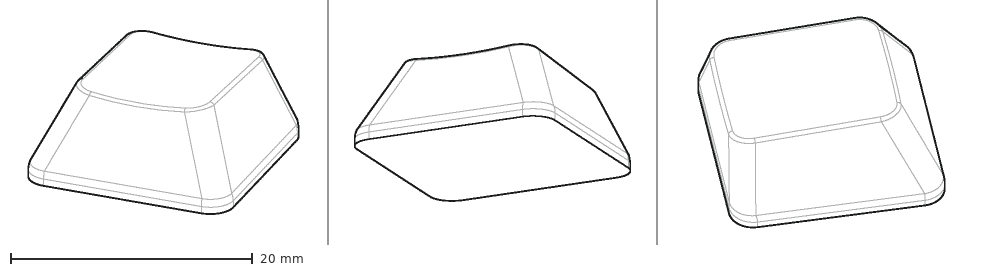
import cadquery as cq
import math

BASE_SIZE = 18.16
BASE_CORNER_RADIUS = 2.03
SKIRT_HEIGHT = 0.65
SHOULDER_HEIGHT = 1.3
SHOULDER_STEPS = 4

SIDE_LEAN = 25.3
FRONT_LEAN = 26.3
BACK_LEAN = 4.6

TOP_TILT = 3
BLANK_HEIGHT = 8.08
BLANK_CORNER_RADIUS = 1.9

DISH_RADIUS = 39.05
DISH_CENTRE_HEIGHT = 7.1
DISH_LENGTH = 2 * BASE_SIZE

RIM_RADIUS = 0.36

HALF_SIZE = BASE_SIZE / 2


def wall_inset(lean, height):
    """How far a wall has moved inward from the skirt at a height."""
    lean = math.radians(lean)
    radius = (SHOULDER_HEIGHT - SKIRT_HEIGHT) / math.sin(lean)
    arc_height = min(height, SHOULDER_HEIGHT) - SKIRT_HEIGHT
    arc_inset = radius - math.sqrt(radius**2 - arc_height**2)
    straight_height = max(height - SHOULDER_HEIGHT, 0)
    return arc_inset + straight_height * math.tan(lean)


def rounded_rectangle(width, front_y, back_y, corner_radius):
    """Outline that is centred on X and spans front to back."""
    outline = cq.Sketch().rect(width, back_y - front_y).vertices().fillet(corner_radius)
    return outline.moved(cq.Location(cq.Vector(0, (front_y + back_y) / 2, 0)))


def level_section(height):
    """Outline of the skirt or shoulder at a height."""
    side_inset = wall_inset(SIDE_LEAN, height)
    width = BASE_SIZE - 2 * side_inset
    front_y = -HALF_SIZE + wall_inset(FRONT_LEAN, height)
    back_y = HALF_SIZE - wall_inset(BACK_LEAN, height)
    outline = rounded_rectangle(width, front_y, back_y, BASE_CORNER_RADIUS - side_inset)
    return outline.moved(cq.Location(cq.Vector(0, 0, height)))


def tilted_section():
    """Outline of the blank's top, on a plane that tips down toward the back."""
    tilt = math.radians(TOP_TILT)

    def reach(lean, rise):
        """Distance from the middle at which a wall meets the plane, which rises toward that wall."""
        level_reach = HALF_SIZE - wall_inset(lean, BLANK_HEIGHT)
        return level_reach / (1 + math.tan(math.radians(lean)) * rise)

    width = BASE_SIZE - 2 * wall_inset(SIDE_LEAN, BLANK_HEIGHT)
    front_y = -reach(FRONT_LEAN, math.tan(tilt)) / math.cos(tilt)
    back_y = reach(BACK_LEAN, -math.tan(tilt)) / math.cos(tilt)
    outline = rounded_rectangle(width, front_y, back_y, BLANK_CORNER_RADIUS)
    tilted_plane = cq.Plane.XY(origin=(0, 0, BLANK_HEIGHT)).rotated((-TOP_TILT, 0, 0))
    return outline.moved(cq.Location(tilted_plane))


def make_blank():
    """Upright skirt, smoothly curved shoulder and leaning walls."""
    skirt = (
        cq.Workplane("XY")
        .rect(BASE_SIZE, BASE_SIZE)
        .extrude(SKIRT_HEIGHT)
        .edges("|Z")
        .fillet(BASE_CORNER_RADIUS)
    )
    step = (SHOULDER_HEIGHT - SKIRT_HEIGHT) / SHOULDER_STEPS
    shoulder_sections = [level_section(SKIRT_HEIGHT + i * step) for i in range(SHOULDER_STEPS + 1)]
    shoulder = cq.Workplane("XY").placeSketch(*shoulder_sections).loft()
    walls = cq.Workplane("XY").placeSketch(shoulder_sections[-1], tilted_section()).loft(ruled=True)
    return skirt.union(shoulder).union(walls)


def make_dish_cutter():
    """Large tilted cylinder whose lowest line forms the valley of the top."""
    return (
        cq.Workplane("XZ")
        .circle(DISH_RADIUS)
        .extrude(DISH_LENGTH / 2, both=True)
        .translate((0, 0, DISH_RADIUS))
        .rotate((0, 0, 0), (1, 0, 0), -TOP_TILT)
        .translate((0, 0, DISH_CENTRE_HEIGHT))
    )


body = make_blank().cut(make_dish_cutter())
result = body.faces(">Z").edges().fillet(RIM_RADIUS)